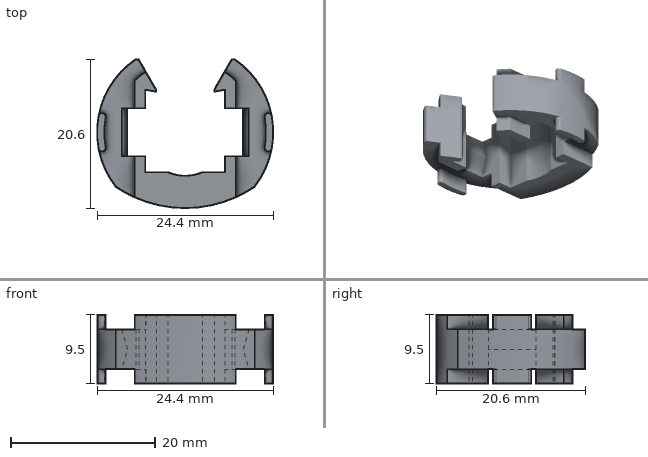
import cadquery as cq
import math

full_height = 9.5
ring_height = 5.5

ring_radius = 12.2
base_radius = 17.0
base_bottom_y = -10.5
base_center_y = base_bottom_y + base_radius

block_half_width = 7.0
block_top_radius = 10.0

opening_half_width = 5.5
opening_bottom_y = -5.5
relief_radius = 6.0

hook_root_y = 5.87
hook_tip_x = 4.0
hook_tip_bottom_y = 5.6
hook_tip_top_y = 5.86
mouth_angle = 60.0
hook_end_y = 10.1

window_half_length = 3.3
window_half_width_face = 8.8
window_half_width_middle = 8.0

rail_width = 1.0
rail_half_angle = 10.6
rail_mid_radius = ring_radius - rail_width / 2


def centered_prism(sketch, height):
    return sketch.extrude(height / 2, both=True)


def centered_cylinder(radius, height, center_y=0.0):
    return centered_prism(cq.Workplane("XY").center(0, center_y).circle(radius), height)


def polar(radius, degrees):
    angle = math.radians(degrees)
    return (radius * math.cos(angle), radius * math.sin(angle))


def make_outer_disc():
    """Ring disc with the shallower base curve below and flat hook ends above."""
    disc = centered_cylinder(ring_radius, full_height)
    disc = disc.intersect(centered_cylinder(base_radius, full_height, base_center_y))
    above_hooks = (
        cq.Workplane("XY")
        .box(2 * ring_radius, ring_radius, full_height)
        .translate((0, hook_end_y + ring_radius / 2, 0))
    )
    return disc.cut(above_hooks)


def make_opening():
    """Inner opening together with the mouth that widens upwards between the hooks."""
    mouth_top_y = ring_radius
    mouth_run = (mouth_top_y - hook_tip_top_y) / math.tan(math.radians(mouth_angle))
    mouth_top_x = hook_tip_x + mouth_run
    right_side = [
        (opening_half_width, opening_bottom_y),
        (opening_half_width, hook_root_y),
        (hook_tip_x, hook_tip_bottom_y),
        (hook_tip_x, hook_tip_top_y),
        (mouth_top_x, mouth_top_y),
    ]
    left_side = [(-x, y) for x, y in reversed(right_side)]
    opening = centered_prism(cq.Workplane("XY").polyline(right_side + left_side).close(), full_height)

    relief_half_width = math.sqrt(relief_radius**2 - opening_bottom_y**2)
    relief_outline = (
        cq.Workplane("XY")
        .moveTo(-relief_half_width, opening_bottom_y)
        .threePointArc((0, -relief_radius), (relief_half_width, opening_bottom_y))
        .close()
    )
    relief = centered_prism(relief_outline, full_height)
    return opening.union(relief)


def make_block_envelope():
    """Full-height region with straight sides and a rounded top."""
    shoulder_y = math.sqrt(block_top_radius**2 - block_half_width**2)
    outline = (
        cq.Workplane("XY")
        .moveTo(-block_half_width, base_bottom_y)
        .lineTo(block_half_width, base_bottom_y)
        .lineTo(block_half_width, shoulder_y)
        .threePointArc((0, block_top_radius), (-block_half_width, shoulder_y))
        .close()
    )
    return centered_prism(outline, full_height)


def make_rail_envelope():
    """Full-height curved bar with rounded inner ends on the +X side, open past the ring outline."""
    inner_radius = ring_radius - rail_width
    beyond_radius = ring_radius + rail_width
    cap_half_angle = rail_half_angle + math.degrees(rail_width / 2 / rail_mid_radius)
    outline = (
        cq.Workplane("XY")
        .moveTo(*polar(beyond_radius, -rail_half_angle))
        .lineTo(*polar(beyond_radius, rail_half_angle))
        .lineTo(*polar(ring_radius, rail_half_angle))
        .threePointArc(polar(rail_mid_radius, cap_half_angle), polar(inner_radius, rail_half_angle))
        .threePointArc((inner_radius, 0), polar(inner_radius, -rail_half_angle))
        .threePointArc(polar(rail_mid_radius, -cap_half_angle), polar(ring_radius, -rail_half_angle))
        .close()
    )
    return centered_prism(outline, full_height)


def make_windows():
    """Both side windows as one cut, waisted at mid height and straight beyond the ring faces."""
    face_z = ring_height / 2
    end_z = full_height / 2
    right_side = [
        (window_half_width_face, -end_z),
        (window_half_width_face, -face_z),
        (window_half_width_middle, 0),
        (window_half_width_face, face_z),
        (window_half_width_face, end_z),
    ]
    left_side = [(-x, z) for x, z in reversed(right_side)]
    profile = cq.Workplane("XZ").polyline(right_side + left_side).close()
    return profile.extrude(window_half_length, both=True)


full_body = make_outer_disc().cut(make_opening())
ring_slab = cq.Workplane("XY").box(2 * base_radius, 2 * base_radius, ring_height)
rail_envelope = make_rail_envelope()
envelope = (
    ring_slab.union(make_block_envelope())
    .union(rail_envelope)
    .union(rail_envelope.mirror("YZ"))
)

result = full_body.intersect(envelope).cut(make_windows())